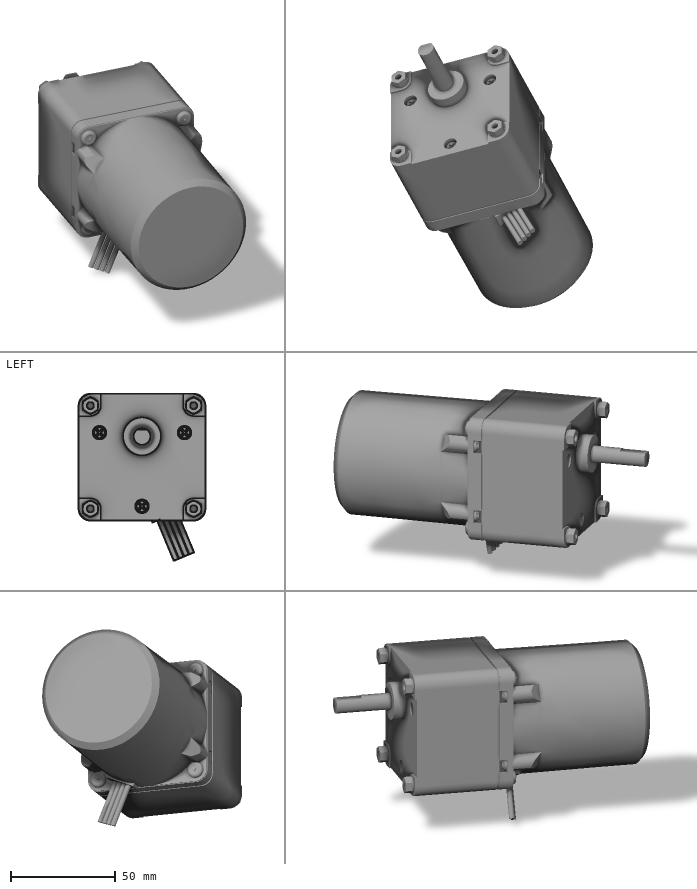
import cadquery as cq
import math

side = 61.0
half_side = side / 2
corner_radius = 6.0

flat_end_x = 12.7
boss_x = 27.0
nut_x = 27.9
washer_x = 31.1
pad_x = 31.9
housing_x = 32.8
groove_x = 72.7
flange_x = 73.8
lip_x = 80.0
can_x = 80.6
cap_x = 141.1
chamfer_x = 146.0
rear_x = 149.0

shaft_z = 10.0
shaft_diameter = 8.0
flat_depth = 0.9
boss_diameter = 18.2

groove_depth = 0.5
lip_inset = 0.3
pad_size = 10.7
bolt_offset = 24.7

can_front_radius = 30.4
can_rear_radius = 30.0
rear_chamfer = 2.8

nut_across_flats = 7.2
washer_diameter = 7.5
nut_bore_diameter = 3.5
bolt_head_diameter = 7.6
bolt_head_rim = 0.7
bolt_head_height = 2.0
bolt_stub_height = 2.8
bolt_stub_diameter = 1.2

screw_angles = (30, 150, 270)
screw_circle_radius = 23.5
screw_hole_diameter = 6.5
screw_hole_depth = 3.7
screw_head_diameter = 5.2
screw_head_height = 1.8
cross_length = 3.9
cross_width = 0.9
cross_depth = 0.9
cross_angle = 45

window_z = 17.5
window_height = 6.4
window_end_x = 77.5
window_depth = 2.2
latch_x = 75.2
latch_steps = 3
latch_step_length = 0.6
latch_step_height = 0.5
latch_sunk = 1.5
latch_radius = 3.3

ear_angle = 33.0
ear_upper_foot = (20.9, 19.8)
ear_upper_corner = (26.2, 21.0)
ear_lower_foot = (25.8, 10.7)
ear_arc_y = 29.8
ear_arc_z = 17.3
ear_arc_half_height = 2.1
ear_tip_x = 89.4
ear_tip_radius = 35.6
ear_end_x = 96.8

cable_tilt = 22.5
cable_y = -13.0
grommet_length = 11.9
grommet_width = 15.3
grommet_end_x = 87.0
grommet_foot_z = 2.2
wire_count = 4
wire_start_x = 80.2
wire_diameter = 2.5
wire_pitch = 2.7
wire_step_x = 0.9
wire_end = 18.6


def cylinder(start_x, end_x, diameter, y=0, z=0):
    plane = cq.Workplane(cq.Plane(origin=(start_x, y, z), xDir=(0, 0, 1), normal=(1, 0, 0)))
    return plane.circle(diameter / 2).extrude(end_x - start_x)


def rounded_plate(start_x, end_x, inset=0):
    width = side - 2 * inset
    plate = cq.Workplane("YZ", origin=(start_x, 0, 0)).rect(width, width).extrude(end_x - start_x)
    return plate.edges("|X").fillet(corner_radius - inset)


def cross_recess(start_x, y, z):
    """Cutter for a cross-shaped driver slot sunk in +X."""
    plane = cq.Workplane("YZ", origin=(start_x, y, z))
    bar = plane.rect(cross_length, cross_width).extrude(cross_depth)
    cross = bar.union(plane.rect(cross_width, cross_length).extrude(cross_depth))
    return cross.rotate((0, y, z), (1, y, z), cross_angle)


def corner_pads():
    """Raised corner pads, each with its inner corner rounded about the bolt."""
    block = rounded_plate(pad_x, housing_x)
    pad_radius = pad_size - (half_side - bolt_offset)
    pads = None
    centre = half_side - pad_size / 2
    for y_sign in (-1, 1):
        for z_sign in (-1, 1):
            pad = (
                cq.Workplane("YZ", origin=(pad_x, y_sign * centre, z_sign * centre))
                .rect(pad_size, pad_size)
                .extrude(housing_x - pad_x)
                .edges("|X")
                .edges("<Y" if y_sign > 0 else ">Y")
                .edges("<Z" if z_sign > 0 else ">Z")
                .fillet(pad_radius)
                .intersect(block)
            )
            pads = pad if pads is None else pads.union(pad)
    return pads


def housing():
    body = rounded_plate(housing_x, groove_x)
    body = body.union(corner_pads())
    body = body.union(rounded_plate(groove_x, flange_x, groove_depth))
    body = body.union(rounded_plate(flange_x, lip_x))
    return body.union(rounded_plate(lip_x, can_x, lip_inset))


def output_shaft():
    shaft = cylinder(0, housing_x, shaft_diameter, z=shaft_z)
    flat_z = shaft_z + shaft_diameter / 2 - flat_depth
    flat = cq.Workplane("XY", origin=(0, -half_side, flat_z)).box(
        flat_end_x, side, shaft_diameter, centered=False
    )
    return shaft.cut(flat).union(cylinder(boss_x, housing_x, boss_diameter, z=shaft_z))


def motor_can():
    outline = [
        (can_x, 0),
        (can_x, can_front_radius),
        (cap_x, can_rear_radius),
        (chamfer_x, can_rear_radius),
        (rear_x, can_rear_radius - rear_chamfer),
        (rear_x, 0),
    ]
    return cq.Workplane("XZ").polyline(outline).close().revolve(360, (0, 0, 0), (1, 0, 0))


def corner_bolt(y, z):
    """Hex nut and washer in front of a pad, domed bolt head behind the flange."""
    nut = (
        cq.Workplane("YZ", origin=(nut_x, y, z))
        .polygon(6, nut_across_flats / math.cos(math.pi / 6))
        .circle(nut_bore_diameter / 2)
        .extrude(washer_x - nut_x)
        .rotate((0, y, z), (1, y, z), 90)
    )
    washer = cylinder(washer_x, pad_x, washer_diameter, y, z)
    head_radius = bolt_head_diameter / 2
    top_radius = head_radius / 2
    rim_x = can_x + bolt_head_rim
    top_x = can_x + bolt_head_height
    head = (
        cq.Workplane("XY", origin=(0, y, z))
        .moveTo(lip_x, 0)
        .lineTo(lip_x, head_radius)
        .lineTo(rim_x, head_radius)
        .tangentArcPoint((top_x, top_radius), relative=False)
        .lineTo(top_x, 0)
        .close()
        .revolve(360, (0, 0, 0), (1, 0, 0))
    )
    stub = cylinder(can_x, can_x + bolt_stub_height, bolt_stub_diameter, y, z)
    return nut.union(washer).union(head).union(stub)


def add_cover_screws(body):
    floor_x = housing_x + screw_hole_depth
    head_x = floor_x - screw_head_height
    for angle in screw_angles:
        y = screw_circle_radius * math.cos(math.radians(angle))
        z = screw_circle_radius * math.sin(math.radians(angle))
        head = cylinder(head_x, floor_x, screw_head_diameter, y, z)
        head = head.cut(cross_recess(head_x, y, z))
        body = body.cut(cylinder(housing_x, floor_x, screw_hole_diameter, y, z)).union(head)
    return body


def add_latch_windows(body):
    """Side windows open to the groove, each with a stepped round latch inside."""
    latch_y = half_side - window_depth - latch_sunk
    for y_sign in (-1, 1):
        for z_sign in (-1, 1):
            z = z_sign * window_z
            window = cq.Workplane("XY").box(
                window_end_x - flange_x, 2 * window_depth, window_height
            ).translate(((flange_x + window_end_x) / 2, y_sign * half_side, z))
            body = body.cut(window)
            for step in range(latch_steps):
                start_x = latch_x + step * latch_step_length
                radius = latch_radius - latch_step_height * (latch_steps - 1 - step)
                body = body.union(cylinder(start_x, window_end_x, 2 * radius, y_sign * latch_y, z))
    return body


def can_ear():
    """Ear at +Y +Z: round outer face, flat flanks running into the can, bevelled rear end."""
    section = (
        cq.Workplane("YZ", origin=(lip_x, 0, 0))
        .moveTo(*ear_upper_foot)
        .lineTo(*ear_upper_corner)
        .lineTo(ear_arc_y, ear_arc_z + ear_arc_half_height)
        .threePointArc((half_side, ear_arc_z), (ear_arc_y, ear_arc_z - ear_arc_half_height))
        .lineTo(*ear_lower_foot)
        .close()
    )
    bar = section.extrude(ear_end_x - lip_x)
    foot_radius = ear_tip_radius - (ear_end_x - ear_tip_x)
    bevelled = [
        (lip_x, foot_radius),
        (lip_x, ear_tip_radius),
        (ear_tip_x, ear_tip_radius),
        (ear_end_x, foot_radius),
    ]
    prism = cq.Workplane("XY").polyline(bevelled).close().extrude(half_side, both=True)
    return bar.intersect(prism.rotate((0, 0, 0), (1, 0, 0), ear_angle))


def cable():
    """Grommet and a fan of wires, modelled hanging straight down and then tilted about X."""
    grommet = cq.Workplane("XY", origin=(can_x, -grommet_width / 2, grommet_foot_z)).box(
        grommet_end_x - can_x, grommet_width, grommet_length, centered=False
    )
    bundle = grommet
    first_y = -wire_pitch * (wire_count - 1) / 2
    for index in range(wire_count):
        x = wire_start_x + wire_diameter / 2 + index * wire_step_x
        y = first_y + index * wire_pitch
        wire = cq.Workplane("XY", origin=(x, y, -wire_end)).circle(wire_diameter / 2)
        bundle = bundle.union(wire.extrude(wire_end + grommet_foot_z + grommet_length / 2))
    return bundle.rotate((0, 0, 0), (1, 0, 0), -cable_tilt).translate((0, cable_y, -half_side))


result = add_latch_windows(add_cover_screws(housing())).union(output_shaft()).union(motor_can())
for bolt_y in (-bolt_offset, bolt_offset):
    for bolt_z in (-bolt_offset, bolt_offset):
        result = result.union(corner_bolt(bolt_y, bolt_z))
ears = can_ear()
ears = ears.union(ears.mirror("XZ"))
result = result.union(ears).union(ears.mirror("XY"))
result = result.union(cable())